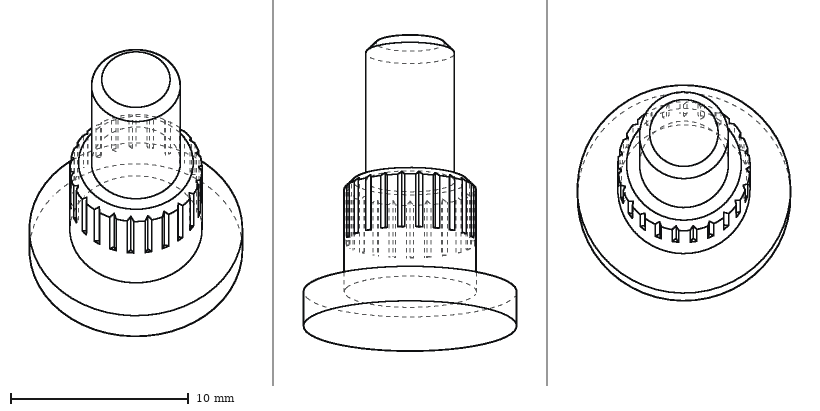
import cadquery as cq

total_height = 16.4

flange_diameter = 12.0
flange_height = 2.0

shoulder_diameter = 7.45
plain_shoulder_height = 2.87
shoulder_chamfer = 0.5

pin_diameter = 5.0
pin_height = 8.0
pin_chamfer = 0.57

groove_count = 23
groove_depth = 0.2
groove_width = 2 * groove_depth

shoulder_radius = shoulder_diameter / 2
shoulder_top = total_height - pin_height
knurl_bottom = flange_height + plain_shoulder_height
knurl_height = shoulder_top - knurl_bottom


def cylinder(diameter, bottom, height):
    """Upright cylinder centred on the Z axis."""
    return cq.Workplane("XY").workplane(offset=bottom).circle(diameter / 2).extrude(height)


def flange():
    return cylinder(flange_diameter, 0, flange_height)


def shoulder():
    blank = cylinder(shoulder_diameter, flange_height, shoulder_top - flange_height)
    return blank.faces(">Z").chamfer(shoulder_chamfer)


def pin():
    blank = cylinder(pin_diameter, shoulder_top, pin_height)
    return blank.faces(">Z").chamfer(pin_chamfer)


def groove_cutter():
    """Triangular prism whose tip points inward from the +Y side of the shoulder.

    The triangle is drawn to twice the groove depth, so it reaches past the surface.
    """
    root = shoulder_radius - groove_depth
    outer = shoulder_radius + groove_depth
    return (
        cq.Workplane("XY")
        .workplane(offset=knurl_bottom)
        .polyline([(0, root), (groove_width, outer), (-groove_width, outer)])
        .close()
        .extrude(knurl_height)
    )


def cut_knurl(body):
    cutter = groove_cutter()
    for index in range(groove_count):
        angle = index * 360 / groove_count
        body = body.cut(cutter.rotate((0, 0, 0), (0, 0, 1), angle))
    return body


result = flange().union(cut_knurl(shoulder())).union(pin())